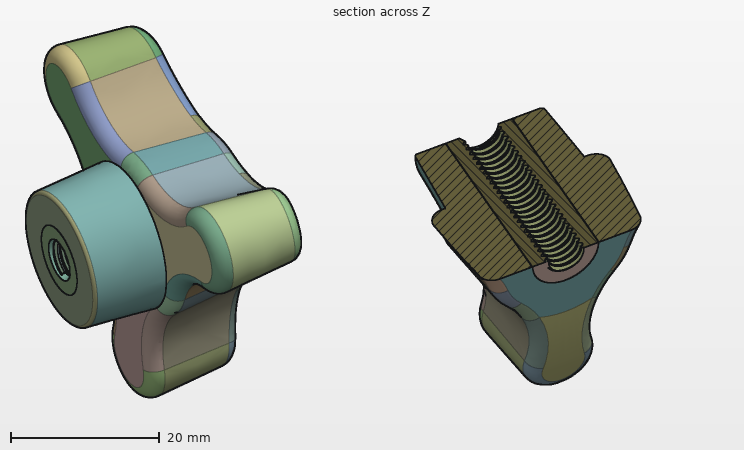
import cadquery as cq
import math

SPAN = 50.35
ARM_COUNT = 3
ARM_PITCH = 360.0 / ARM_COUNT
FIRST_ARM_ANGLE = 270.0
LOBE_DISTANCE = 22.0
HUB_RADIUS = 12.35
FLANK_RADIUS = 12.85
KNOB_THICKNESS = 15.05
DRAFT = 5.0
EDGE_RADIUS = 2.0

BACK_FLAT_RADIUS = 11.05
BACK_CURVE_RADIUS = 90.6
TRIM_RADIUS = 30.2

BOSS_LENGTH = 10.65
BOSS_BASE_RADIUS = 10.5
BOSS_TIP_RADIUS = 9.75
BOSS_EDGE_RADIUS = 0.5
BOSS_ROOT_DEPTH = 5.05

INSERT_RADIUS = 5.0
BORE_RADIUS = 2.45
THREAD_RADIUS = 2.95
COUNTERSINK_DEPTH = 0.85
THREAD_PITCH = 1.0
GROOVE_ROOT_WIDTH = THREAD_PITCH / 8
GROOVE_HALF_ANGLE = 30.0
GROOVE_OVERLAP = 0.05
THREAD_START_DEPTH = 0.5

BACK_EDGE_FLOOR = KNOB_THICKNESS / 2
SAME_PLACE = 0.005

edge_loss = EDGE_RADIUS * (1 / math.tan(math.radians((90 - DRAFT) / 2)) - 1)
upper_arm_angle = FIRST_ARM_ANGLE + ARM_PITCH
lobe_radius = SPAN / 2 - LOBE_DISTANCE * math.cos(math.radians(upper_arm_angle)) + edge_loss
total_length = KNOB_THICKNESS + BOSS_LENGTH

front_plane = cq.Plane(origin=(0, 0, 0), xDir=(-1, 0, 0), normal=(0, 1, 0))
tip_plane = cq.Plane(origin=(0, -BOSS_LENGTH, 0), xDir=(-1, 0, 0), normal=(0, 1, 0))


def polar(radius, degrees):
    """Point at a radius and angle around the hub axis, in the sketch plane."""
    angle = math.radians(degrees)
    return cq.Vector(radius * math.cos(angle), radius * math.sin(angle), 0)


def flank_arc(arm_angle, side):
    """Hub end, middle and lobe end of the hollow on one side (+1 or -1) of an arm."""
    to_hub = HUB_RADIUS + FLANK_RADIUS
    to_lobe = lobe_radius + FLANK_RADIUS
    cosine = (to_hub**2 + LOBE_DISTANCE**2 - to_lobe**2) / (2 * to_hub * LOBE_DISTANCE)
    offset_angle = math.degrees(math.acos(cosine))
    center = polar(to_hub, arm_angle + side * offset_angle)
    lobe_center = polar(LOBE_DISTANCE, arm_angle)
    hub_direction = center.multiply(-1).normalized()
    lobe_direction = (lobe_center - center).normalized()
    middle_direction = (hub_direction + lobe_direction).normalized()
    directions = (hub_direction, middle_direction, lobe_direction)
    return [center + direction * FLANK_RADIUS for direction in directions]


def knob_outline():
    """Closed outline of the arms at the sharp front edge."""
    start = flank_arc(FIRST_ARM_ANGLE, -1)[0]
    outline = cq.Workplane(front_plane).moveTo(start.x, start.y)
    for arm in range(ARM_COUNT):
        angle = FIRST_ARM_ANGLE + arm * ARM_PITCH
        _, middle_start, lobe_start = flank_arc(angle, -1)
        hub_end, middle_end, lobe_end = flank_arc(angle, 1)
        tip = polar(LOBE_DISTANCE + lobe_radius, angle)
        hub_middle = polar(HUB_RADIUS, angle + ARM_PITCH / 2)
        next_hub_start = flank_arc(angle + ARM_PITCH, -1)[0]
        outline = (
            outline
            .threePointArc(middle_start.toTuple()[:2], lobe_start.toTuple()[:2])
            .threePointArc(tip.toTuple()[:2], lobe_end.toTuple()[:2])
            .threePointArc(middle_end.toTuple()[:2], hub_end.toTuple()[:2])
            .threePointArc(hub_middle.toTuple()[:2], next_hub_start.toTuple()[:2])
        )
    return outline.close()


def back_envelope():
    """Revolved body whose back face is flat in the middle and falls away outside."""
    def curve_point(radius):
        """Radius and y of the falling part of the back face."""
        run = radius - BACK_FLAT_RADIUS
        drop = BACK_CURVE_RADIUS - math.sqrt(BACK_CURVE_RADIUS**2 - run**2)
        return radius, KNOB_THICKNESS - drop

    middle = curve_point((BACK_FLAT_RADIUS + TRIM_RADIUS) / 2)
    rim = curve_point(TRIM_RADIUS)
    return (
        cq.Workplane("XY")
        .lineTo(TRIM_RADIUS, 0)
        .lineTo(*rim)
        .threePointArc(middle, (BACK_FLAT_RADIUS, KNOB_THICKNESS))
        .lineTo(0, KNOB_THICKNESS)
        .close()
        .revolve(360, (0, 0, 0), (0, 1, 0))
    )


def lies_on_fall_start(edge):
    """True for the circle stretches where the back face begins to fall away."""
    middle = edge.positionAt(0.5)
    return abs(math.hypot(middle.x, middle.z) - BACK_FLAT_RADIUS) < SAME_PLACE


def arms():
    """Three drafted arms with a falling back face and rounded edges."""
    body = knob_outline().extrude(KNOB_THICKNESS, taper=DRAFT).intersect(back_envelope())
    body = body.faces("<Y").edges().fillet(EDGE_RADIUS)
    back_edges = body.edges(cq.selectors.BoxSelector(
        (-TRIM_RADIUS, BACK_EDGE_FLOOR, -TRIM_RADIUS),
        (TRIM_RADIUS, total_length, TRIM_RADIUS),
    ))
    back_rim = [edge for edge in back_edges.vals() if not lies_on_fall_start(edge)]
    return body.newObject(back_rim).fillet(EDGE_RADIUS)


def boss():
    """Tapered round boss, carried on into the knob so that it meets the rounded front edge."""
    return (
        cq.Workplane("XY")
        .lineTo(0, BOSS_ROOT_DEPTH)
        .lineTo(BOSS_BASE_RADIUS, BOSS_ROOT_DEPTH)
        .lineTo(BOSS_BASE_RADIUS, 0)
        .lineTo(BOSS_TIP_RADIUS, -BOSS_LENGTH)
        .lineTo(0, -BOSS_LENGTH)
        .close()
        .revolve(360, (0, 0, 0), (0, 1, 0))
        .faces("<Y").edges().fillet(BOSS_EDGE_RADIUS)
    )


def rod(radius):
    """Round rod along the hub axis, as long as the whole knob."""
    return cq.Workplane(tip_plane).circle(radius).extrude(total_length)


def make_housing():
    """The knob: arms and boss in one piece, with a through hole for the insert."""
    return arms().union(boss()).cut(rod(INSERT_RADIUS))


def thread_groove():
    """Helical groove of a right-hand thread, from the countersink out through the back end."""
    depth = THREAD_RADIUS - BORE_RADIUS + GROOVE_OVERLAP
    half_root = GROOVE_ROOT_WIDTH / 2
    half_mouth = half_root + depth * math.tan(math.radians(GROOVE_HALF_ANGLE))
    inner_radius = BORE_RADIUS - GROOVE_OVERLAP
    helix = cq.Wire.makeHelix(THREAD_PITCH, total_length + THREAD_PITCH, BORE_RADIUS)
    groove = (
        cq.Workplane("XZ")
        .moveTo(inner_radius, -half_mouth)
        .lineTo(THREAD_RADIUS, -half_root)
        .lineTo(THREAD_RADIUS, half_root)
        .lineTo(inner_radius, half_mouth)
        .close()
        .sweep(cq.Workplane(helix), isFrenet=True)
    )
    return (
        groove
        .rotate((0, 0, 0), (0, 0, 1), 90)
        .rotate((0, 0, 0), (1, 0, 0), -90)
        .translate((0, THREAD_START_DEPTH - BOSS_LENGTH, 0))
    )


def countersink():
    """Cone at the mouth of the bore, as wide as the thread at the boss face."""
    return (
        cq.Workplane(tip_plane)
        .circle(THREAD_RADIUS)
        .workplane(offset=COUNTERSINK_DEPTH)
        .circle(BORE_RADIUS)
        .loft(ruled=True)
    )


def make_insert():
    """Threaded bush running right through the knob."""
    return rod(INSERT_RADIUS).cut(thread_groove()).cut(rod(BORE_RADIUS)).cut(countersink())


housing = make_housing()
insert = make_insert()
result = cq.Compound.makeCompound([housing.val(), insert.val()])